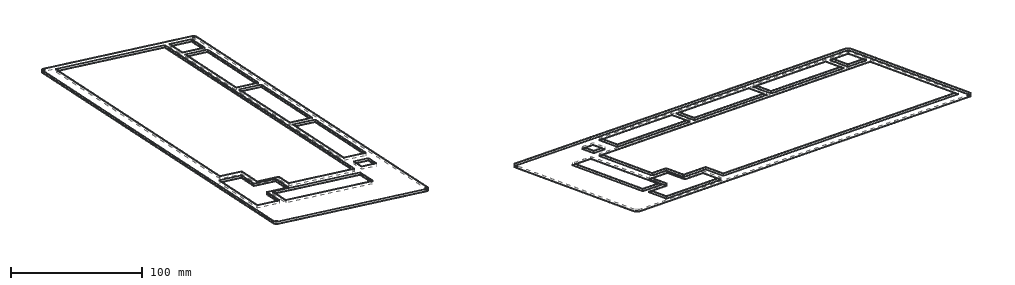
import cadquery as cq

plate_length = 354.2
plate_width = 135.0
plate_thickness = 2.02
corner_radius = 2.5

corner_hole_diameter = 1.52
corner_hole_inset = 1.8

key_pitch = 19.05
opening_clearance = 0.5
left_margin = 5.3

function_row_bottom = 109.8
group_gap = 5.0
group_keys = 4
group_count = 3

main_bottom = 10.0
main_columns = 15
main_rows = 5
lower_step_rows = 1
upper_step_rows = 2
upper_step_keys = 0.78
lower_step_keys = 2

nav_left = 300.5
nav_keys = 4

arrow_left = 260.5
arrow_bottom = 5.3
arrow_columns = 3

window_left = 278.8
window_bottom = 112.5
window_length = 11.7
window_width = 12.8


def span(keys):
    """Opening size for a number of keys in a line."""
    return keys * key_pitch + opening_clearance


def prism(points):
    """Full-thickness solid with the given outline."""
    return cq.Workplane("XY").polyline(points).close().extrude(plate_thickness)


def block(left, bottom, length, width):
    """Full-thickness rectangular solid placed by its lower left corner."""
    solid = cq.Workplane("XY").box(length, width, plate_thickness, centered=False)
    return solid.translate((left, bottom, 0))


def plate():
    sheet = block(0, 0, plate_length, plate_width).edges("|Z").fillet(corner_radius)
    hole_centers = [
        (x, y)
        for x in (corner_hole_inset, plate_length - corner_hole_inset)
        for y in (corner_hole_inset, plate_width - corner_hole_inset)
    ]
    holes = cq.Workplane("XY").pushPoints(hole_centers).circle(corner_hole_diameter / 2)
    return sheet.cut(holes.extrude(plate_thickness))


def function_row():
    openings = block(left_margin, function_row_bottom, span(1), span(1))
    first_group_left = left_margin + key_pitch + group_gap
    group_pitch = group_keys * key_pitch + group_gap
    for index in range(group_count):
        left = first_group_left + index * group_pitch
        openings = openings.union(block(left, function_row_bottom, span(group_keys), span(1)))
    return openings


def main_block():
    right = left_margin + span(main_columns)
    top = main_bottom + span(main_rows)
    upper_step_left = right - upper_step_keys * key_pitch
    lower_step_left = right - lower_step_keys * key_pitch
    upper_step_top = main_bottom + upper_step_rows * key_pitch
    lower_step_top = main_bottom + lower_step_rows * key_pitch
    return prism([
        (left_margin, main_bottom),
        (lower_step_left, main_bottom),
        (lower_step_left, lower_step_top),
        (upper_step_left, lower_step_top),
        (upper_step_left, upper_step_top),
        (right, upper_step_top),
        (right, top),
        (left_margin, top),
    ])


def nav_column():
    bottom = main_bottom + (main_rows - nav_keys) * key_pitch
    return block(nav_left, bottom, span(1), span(nav_keys))


def arrow_cluster():
    base = block(arrow_left, arrow_bottom, span(arrow_columns), span(1))
    stem = block(arrow_left + key_pitch, arrow_bottom, span(1), span(2))
    return base.union(stem)


result = (
    plate()
    .cut(function_row())
    .cut(main_block())
    .cut(nav_column())
    .cut(arrow_cluster())
    .cut(block(window_left, window_bottom, window_length, window_width))
)